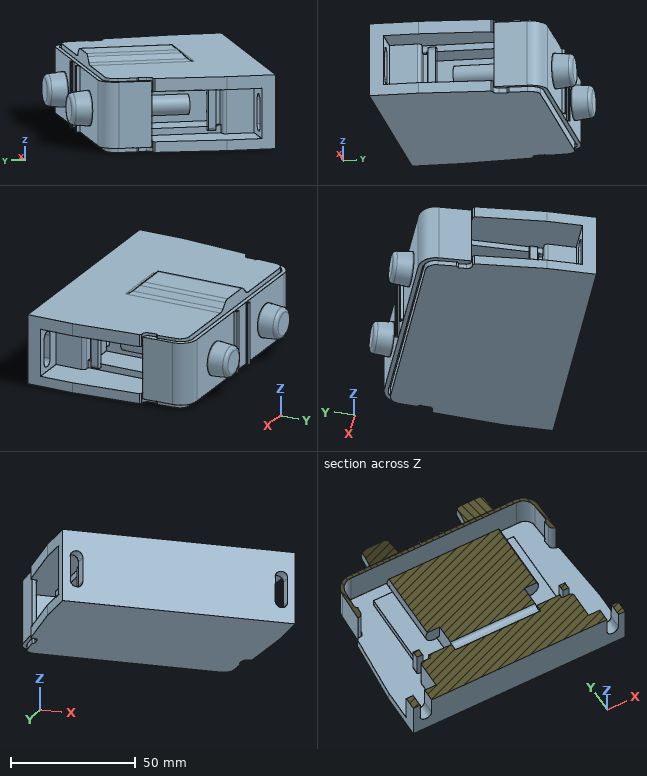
import cadquery as cq
import math

WIDTH = 98.0
HOUSING_LENGTH = 68.0
HOUSING_HEIGHT = 30.2
STRAIGHT_LENGTH = 20.2
SHOULDER_Y = 49.9
SHOULDER_HALF_WIDTH = 46.6
SHOULDER_ROUND = 0.7
REAR_CORNER_RADIUS = 4.4
REAR_HALF_WIDTH = 43.5
CATCH_Y = 56.1
CATCH_HALF_WIDTH = 44.0
CATCH_DEPTH = 1.0
NOTCH_FRONT_HALF_WIDTH = 43.3
NOTCH_RADIUS = 2.0

RIDGE_HALF_WIDTH = 12.2
RIDGE_FRONT_Y = 25.2
RIDGE_HEIGHT = 3.8
RIDGE_RADIUS = 2.9

RECESS_FRONT_Y = 5.8
RECESS_BOTTOM = 4.4
RECESS_TOP = 24.9
POCKET_HALF_WIDTH = 35.3
POCKET_END_Y = 18.7
POCKET_ROUND = 1.5
LEDGE_HALF_WIDTH = 32.3
WEB_REAR_Y = 61.25
WEB_HALF_WIDTH = 19.6
CHANNEL_FRONT_Y = 20.4
CHANNEL_HEIGHT = 15.0
STEP_DEPTH = 2.0
STEP_HEIGHT = 14.3
MID_Z = 14.7

BOSS_RADIUS = 4.1
BOSS_FRONT_Y = 30.1
BAR_FRONT_Y = 21.5
BAR_THICKNESS = 3.1
BAR_HEIGHT = 17.8
BAR_PROJECTION = 2.7
BAR_ROUND = 1.1
WEB_HOLE_RADIUS = 2.45
WEB_HOLE_Y = 19.3
WEB_HOLE_SPACING = 7.2

SLOT_CENTRE_X = 43.1
SLOT_WIDTH = 5.2
SLOT_LENGTH = 15.2
SLOT_CENTRE_Z = 14.0

COVER_BOTTOM = 2.1
COVER_TOP = 29.0
COVER_REAR_Y = 70.8
COVER_THICKNESS = 1.8
COVER_OUTER_RADIUS = 7.2
COVER_CORNER_HALF_WIDTH = 45.4
COVER_END_HALF_WIDTH = 45.9
ARM_END_Y = 50.3
ARM_TOE_RADIUS = 2.2
ARM_CLEARANCE = 0.1

RAIL_HALF_SPAN = 5.7
RAIL_THICKNESS = 0.9
RAIL_HEIGHT = 1.4
RAIL_LIP = 0.7
RAIL_LIP_HEIGHT = 0.6

KNOB_X = 22.0
KNOB_BASE_RADIUS = 7.2
KNOB_FOOT = 0.4
KNOB_TOP_RADIUS = 6.5
KNOB_HEIGHT = 8.2
KNOB_ROUND = 1.7

COS45 = math.cos(math.radians(45))


def both_sides(half):
    """The given -X half together with its mirror image."""
    return half.union(half.mirror("YZ"))


def box(x0, x1, y0, y1, z0, z1):
    return cq.Workplane("XY").box(x1 - x0, y1 - y0, z1 - z0, centered=False).translate((x0, y0, z0))


def housing_block():
    corner_y = HOUSING_LENGTH - REAR_CORNER_RADIUS
    corner_x = REAR_HALF_WIDTH - REAR_CORNER_RADIUS
    notch_half_width = CATCH_HALF_WIDTH - CATCH_DEPTH
    half = (
        cq.Workplane("XY")
        .lineTo(-WIDTH / 2, 0)
        .lineTo(-WIDTH / 2, STRAIGHT_LENGTH)
        .lineTo(-SHOULDER_HALF_WIDTH, SHOULDER_Y - SHOULDER_ROUND)
        .lineTo(-SHOULDER_HALF_WIDTH + SHOULDER_ROUND, SHOULDER_Y)
        .lineTo(-NOTCH_FRONT_HALF_WIDTH - NOTCH_RADIUS, SHOULDER_Y)
        .radiusArc((-NOTCH_FRONT_HALF_WIDTH, SHOULDER_Y + NOTCH_RADIUS), -NOTCH_RADIUS)
        .lineTo(-notch_half_width, CATCH_Y - CATCH_DEPTH)
        .lineTo(-CATCH_HALF_WIDTH, CATCH_Y)
        .lineTo(-REAR_HALF_WIDTH, corner_y)
        .radiusArc((-corner_x, HOUSING_LENGTH), REAR_CORNER_RADIUS)
        .lineTo(0, HOUSING_LENGTH)
        .close()
        .extrude(HOUSING_HEIGHT)
    )
    return both_sides(half)


def ridge():
    base = HOUSING_HEIGHT
    crest = base + RIDGE_HEIGHT
    arc_run = RIDGE_RADIUS * COS45
    arc_rise = RIDGE_RADIUS - arc_run
    flank = RIDGE_HEIGHT - 2 * arc_rise
    foot_x = RIDGE_HALF_WIDTH - arc_run
    crest_x = foot_x - flank
    across = (
        cq.Workplane("XZ", origin=(0, RIDGE_FRONT_Y, 0))
        .moveTo(-RIDGE_HALF_WIDTH, base)
        .radiusArc((-foot_x, base + arc_rise), -RIDGE_RADIUS)
        .lineTo(-crest_x, crest - arc_rise)
        .radiusArc((-crest_x + arc_run, crest), RIDGE_RADIUS)
        .lineTo(crest_x - arc_run, crest)
        .radiusArc((crest_x, crest - arc_rise), RIDGE_RADIUS)
        .lineTo(foot_x, base + arc_rise)
        .radiusArc((RIDGE_HALF_WIDTH, base), -RIDGE_RADIUS)
        .close()
        .extrude(RIDGE_FRONT_Y - HOUSING_LENGTH)
    )
    foot_y = RIDGE_FRONT_Y + arc_run
    along = (
        cq.Workplane("YZ", origin=(-RIDGE_HALF_WIDTH, 0, 0))
        .moveTo(RIDGE_FRONT_Y, base)
        .radiusArc((foot_y, base + arc_rise), -RIDGE_RADIUS)
        .lineTo(foot_y + RIDGE_HEIGHT - arc_rise, crest)
        .lineTo(HOUSING_LENGTH, crest)
        .lineTo(HOUSING_LENGTH, base)
        .close()
        .extrude(2 * RIDGE_HALF_WIDTH)
    )
    return across.intersect(along)


def recess():
    """Side and rear opening, stepped in plan, with a channel in the side of the web."""
    rounded_x = POCKET_HALF_WIDTH - POCKET_ROUND
    half = (
        cq.Workplane("XY", origin=(0, 0, RECESS_BOTTOM))
        .moveTo(-WIDTH / 2, RECESS_FRONT_Y)
        .lineTo(-POCKET_HALF_WIDTH, RECESS_FRONT_Y)
        .lineTo(-POCKET_HALF_WIDTH, POCKET_END_Y - POCKET_ROUND)
        .radiusArc((-rounded_x, POCKET_END_Y), POCKET_ROUND)
        .lineTo(-LEDGE_HALF_WIDTH, POCKET_END_Y)
        .lineTo(-LEDGE_HALF_WIDTH, WEB_REAR_Y)
        .lineTo(0, WEB_REAR_Y)
        .lineTo(0, HOUSING_LENGTH)
        .lineTo(-WIDTH / 2, HOUSING_LENGTH)
        .close()
        .extrude(RECESS_TOP - RECESS_BOTTOM)
    )
    channel = box(
        -LEDGE_HALF_WIDTH, -WEB_HALF_WIDTH,
        CHANNEL_FRONT_Y, WEB_REAR_Y,
        MID_Z - CHANNEL_HEIGHT / 2, MID_Z + CHANNEL_HEIGHT / 2,
    )
    step = box(
        -LEDGE_HALF_WIDTH, -LEDGE_HALF_WIDTH + STEP_DEPTH,
        POCKET_END_Y, CHANNEL_FRONT_Y,
        MID_Z - STEP_HEIGHT / 2, MID_Z + STEP_HEIGHT / 2,
    )
    return both_sides(half.union(channel).union(step))


def web_bosses():
    return (
        cq.Workplane("XZ", origin=(0, BOSS_FRONT_Y, MID_Z))
        .pushPoints([(-KNOB_X, 0), (KNOB_X, 0)])
        .circle(BOSS_RADIUS)
        .extrude(BOSS_FRONT_Y - WEB_REAR_Y)
    )


def channel_bars():
    """A bar bridging each channel, standing on the ledges above and below it."""
    bar = box(
        -LEDGE_HALF_WIDTH - BAR_PROJECTION, -LEDGE_HALF_WIDTH,
        BAR_FRONT_Y, BAR_FRONT_Y + BAR_THICKNESS,
        MID_Z - BAR_HEIGHT / 2, MID_Z + BAR_HEIGHT / 2,
    )
    return both_sides(bar.edges("|Y and <X").fillet(BAR_ROUND))


def web_holes():
    return (
        cq.Workplane("YZ", origin=(-WEB_HALF_WIDTH, WEB_HOLE_Y, MID_Z))
        .pushPoints([(0, -WEB_HOLE_SPACING / 2), (0, WEB_HOLE_SPACING / 2)])
        .circle(WEB_HOLE_RADIUS)
        .extrude(2 * WEB_HALF_WIDTH)
    )


def front_slots():
    return (
        cq.Workplane("XZ", origin=(0, 0, SLOT_CENTRE_Z))
        .pushPoints([(-SLOT_CENTRE_X, 0), (SLOT_CENTRE_X, 0)])
        .slot2D(SLOT_LENGTH, SLOT_WIDTH, 90)
        .extrude(-RECESS_FRONT_Y)
    )


def make_housing():
    hollow = housing_block().union(ridge()).cut(recess()).cut(web_holes()).cut(front_slots())
    return hollow.union(web_bosses()).union(channel_bars())


def label_rail():
    inner_x = RAIL_HALF_SPAN - RAIL_THICKNESS
    rail_top = COVER_REAR_Y + RAIL_HEIGHT
    stem = box(-RAIL_HALF_SPAN, -inner_x, COVER_REAR_Y, rail_top, COVER_BOTTOM, COVER_TOP)
    lip = box(-inner_x, -inner_x + RAIL_LIP, rail_top - RAIL_LIP_HEIGHT, rail_top, COVER_BOTTOM, COVER_TOP)
    return stem.union(lip)


def make_cover():
    inner_radius = COVER_OUTER_RADIUS - COVER_THICKNESS
    corner_x = COVER_CORNER_HALF_WIDTH - COVER_OUTER_RADIUS
    corner_y = COVER_REAR_Y - COVER_OUTER_RADIUS
    catch_x = CATCH_HALF_WIDTH + ARM_CLEARANCE
    catch_y = CATCH_Y - ARM_CLEARANCE
    toe_x = NOTCH_FRONT_HALF_WIDTH + ARM_CLEARANCE
    half = (
        cq.Workplane("XY", origin=(0, 0, COVER_BOTTOM))
        .moveTo(0, COVER_REAR_Y)
        .lineTo(-corner_x, COVER_REAR_Y)
        .radiusArc((-COVER_CORNER_HALF_WIDTH, corner_y), -COVER_OUTER_RADIUS)
        .lineTo(-COVER_END_HALF_WIDTH, ARM_END_Y)
        .lineTo(-toe_x - ARM_TOE_RADIUS, ARM_END_Y)
        .radiusArc((-toe_x, ARM_END_Y + ARM_TOE_RADIUS), -ARM_TOE_RADIUS)
        .lineTo(-catch_x + CATCH_DEPTH, catch_y - CATCH_DEPTH)
        .lineTo(-catch_x, catch_y)
        .lineTo(-corner_x - inner_radius, corner_y)
        .radiusArc((-corner_x, COVER_REAR_Y - COVER_THICKNESS), inner_radius)
        .lineTo(0, COVER_REAR_Y - COVER_THICKNESS)
        .close()
        .extrude(COVER_TOP - COVER_BOTTOM)
    )
    return both_sides(half.union(label_rail()))


def make_knob(x):
    """A tapered knob on a short foot, standing on the rear of the cover."""
    profile = (
        cq.Workplane("XY")
        .lineTo(-KNOB_BASE_RADIUS, 0)
        .lineTo(-KNOB_BASE_RADIUS, KNOB_FOOT)
        .lineTo(-KNOB_TOP_RADIUS, KNOB_HEIGHT)
        .lineTo(0, KNOB_HEIGHT)
        .close()
    )
    knob = profile.revolve(360, (0, 0, 0), (0, 1, 0)).edges(">Y").fillet(KNOB_ROUND)
    return knob.translate((x, COVER_REAR_Y, MID_Z))


housing = make_housing()
cover = make_cover()
knobs = [make_knob(x) for x in (-KNOB_X, KNOB_X)]

result = cq.Compound.makeCompound([housing.val(), cover.val(), *[knob.val() for knob in knobs]])